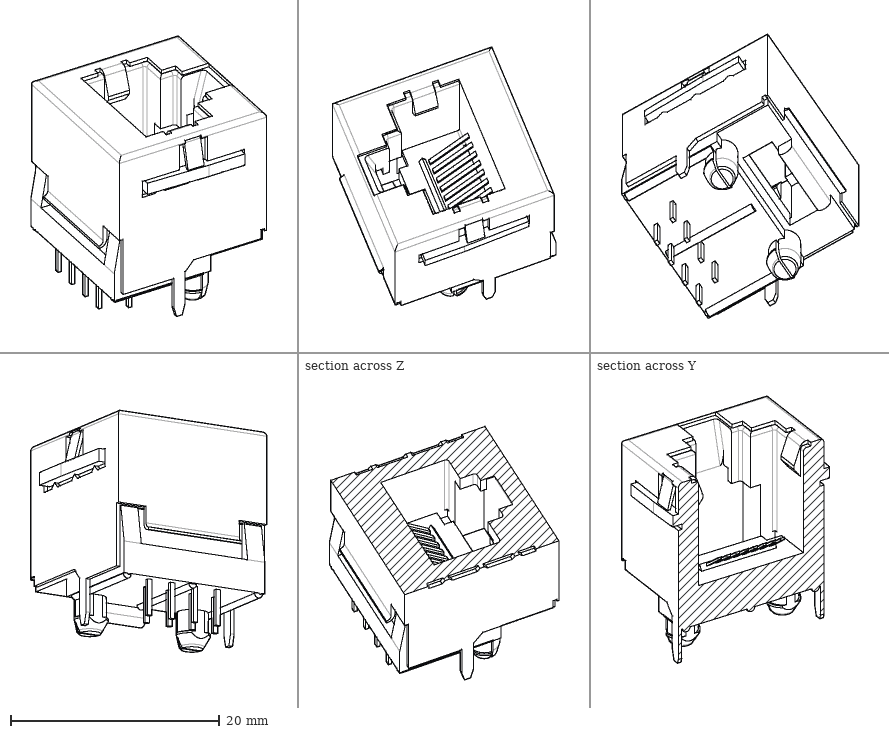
import cadquery as cq


overall_width = 18.04
shell_width = 16.6
shell_length = 16.45
top_z = 19.93
sheet = 0.42
edge_radius = 0.5
half_width = shell_width / 2
half_length = shell_length / 2
front_y = -half_length
back_y = half_length

housing_half_width = half_width - sheet
housing_front_y = front_y + sheet
housing_back_y = 8.0
housing_top_z = top_z - sheet
seat_z = 3.65
rear_bottom_z = 5.42
rear_step_y = 2.23
sill_y = -8.55
sill_top_z = 6.78

plug_half_width = 5.94
plug_front_y = -3.97
plug_back_y = 3.1
key_half_width = 3.1
key_back_y = 4.78
latch_half_width = 2.03
latch_top_y = 7.41
latch_bottom_y = 6.22
latch_slope_z = 14.95
floor_z = 7.97
well_half_width = 4.27

tongue_half_width = 5.22
tongue_bend_z = 9.0
tongue_reach = 0.48

spring_back_y = 0.88
spring_front_y = -1.47
spring_root_x = 6.48

side_spring_y = 0.04
side_window_top_z = 16.56
side_window_bottom_z = 14.75
strip_bottom_z = 15.29


def box(x0, x1, y0, y1, z0, z1):
    return cq.Workplane("XY").box(x1 - x0, y1 - y0, z1 - z0, centered=False).translate((x0, y0, z0))


def prism_x(points, x0, x1):
    """Extrude an outline of (y, z) points from x0 to x1."""
    return cq.Workplane("YZ").workplane(offset=x0).polyline(points).close().extrude(x1 - x0)


def prism_y(points, y0, y1):
    """Extrude an outline of (x, z) points from y0 to y1."""
    return cq.Workplane("XZ").workplane(offset=-y1).polyline(points).close().extrude(y1 - y0)


def prism_z(points, z0, z1):
    """Extrude an outline of (x, y) points from z0 to z1."""
    return cq.Workplane("XY").workplane(offset=z0).polyline(points).close().extrude(z1 - z0)


def with_mirror(solid, plane="YZ"):
    return solid.union(solid.mirror(plane))


def stepped_outline(right_side):
    """Close a right-hand run of (x, y) points with its mirror image."""
    return right_side + [(-x, y) for x, y in reversed(right_side)]


def make_shell():
    side_bottom_z = 4.42
    rear_bottom_edge_z = 5.84
    corner_notch_z = 10.66
    back_edge_z = 6.6
    rear_notch_z = 6.84
    rear_notch_y = 7.57
    tab_front_y, tab_back_y = -2.13, -0.9
    tab_taper_z, tab_tip_inset = 1.12, 0.3
    gusset_top_y, gusset_bottom_z = 0.08, 4.76

    block = box(-half_width, half_width, front_y, back_y, 0, top_z)
    block = block.faces(">Z").edges().fillet(edge_radius)
    inside = box(-housing_half_width, housing_half_width, housing_front_y, back_y - sheet, 0, housing_top_z)
    side_profile = [
        (front_y, top_z),
        (front_y, tongue_bend_z),
        (housing_front_y, tongue_bend_z),
        (housing_front_y, side_bottom_z),
        (tab_front_y, side_bottom_z),
        (tab_front_y, tab_taper_z),
        (tab_front_y + tab_tip_inset, 0),
        (tab_back_y - tab_tip_inset, 0),
        (tab_back_y, tab_taper_z),
        (tab_back_y, gusset_bottom_z),
        (gusset_top_y, rear_bottom_edge_z),
        (rear_notch_y, rear_bottom_edge_z),
        (rear_notch_y, rear_notch_z),
        (housing_back_y, rear_notch_z),
        (housing_back_y, back_edge_z),
        (back_y, back_edge_z),
        (back_y, top_z),
    ]
    shell = block.cut(inside).intersect(prism_x(side_profile, -half_width, half_width))
    front_corner = box(tongue_half_width, half_width, front_y, housing_front_y, 0, corner_notch_z)
    tongue_gap = box(-tongue_half_width, tongue_half_width, back_y - sheet, back_y, 0, tongue_bend_z)
    return shell.cut(with_mirror(front_corner)).cut(tongue_gap)


def make_tongue_lip():
    """Flared lower edge of the front snap tongue."""
    tip_y = front_y - tongue_reach
    tip_top_z, tip_bottom_z = 8.51, 8.25
    upper_mid = (front_y - 0.15, 8.65)
    lower_mid = (front_y + 0.08, 8.43)
    lip = (
        cq.Workplane("YZ")
        .workplane(offset=-tongue_half_width)
        .moveTo(housing_front_y, tongue_bend_z)
        .lineTo(front_y, tongue_bend_z)
        .threePointArc(upper_mid, (tip_y, tip_top_z))
        .lineTo(tip_y, tip_bottom_z)
        .threePointArc(lower_mid, (housing_front_y, tongue_bend_z))
        .close()
        .extrude(2 * tongue_half_width)
    )
    return lip


def make_top_opening():
    """Stepped opening in the shell top, with relief notches beside the inner springs."""
    side_gap, step_gap = 0.2, 0.32
    latch_back_y = 8.0
    outline = stepped_outline(
        [
            (plug_half_width + side_gap, plug_front_y),
            (plug_half_width + side_gap, plug_back_y + step_gap),
            (key_half_width + step_gap, plug_back_y + step_gap),
            (key_half_width + step_gap, key_back_y + side_gap),
            (latch_half_width + side_gap, key_back_y + side_gap),
            (latch_half_width + side_gap, latch_back_y),
        ]
    )
    opening = prism_z(outline, housing_top_z, top_z)
    notch_reach = 6.75
    notch_width = 0.6
    spans = (
        (spring_front_y - notch_width, spring_front_y, notch_reach),
        (spring_front_y, spring_back_y, spring_root_x),
        (spring_back_y, spring_back_y + notch_width, notch_reach),
    )
    for y0, y1, reach in spans:
        opening = opening.union(box(-reach, reach, y0, y1, housing_top_z, top_z))
    return opening


def make_inner_spring():
    """Bulged contact spring on the +X wall of the plug opening."""
    bend_mid = (6.15, 19.8)
    bend_end_x = 5.9
    nose_x = 5.18
    nose_top_z, nose_bottom_z = 17.54, 17.14
    heel_z = 16.15
    spring = (
        cq.Workplane("XZ")
        .workplane(offset=-spring_back_y)
        .moveTo(spring_root_x, top_z)
        .threePointArc(bend_mid, (bend_end_x, housing_top_z))
        .lineTo(nose_x, nose_top_z)
        .lineTo(nose_x, nose_bottom_z)
        .lineTo(plug_half_width, heel_z)
        .lineTo(spring_root_x, heel_z)
        .close()
        .extrude(spring_back_y - spring_front_y)
    )
    return spring


def make_side_window():
    """Recess through the +X sheet that frames the side spring."""
    half_window = 5.7
    channel_half = 1.55
    channel_top_z = 19.33
    slot_half = 0.9
    slot_top_z = 19.65
    tooth_half = 0.55
    tooth_pitch = 3.73
    x0, x1 = housing_half_width, half_width
    y0, y1 = side_spring_y - half_window, side_spring_y + half_window
    window = box(x0, x1, y0, y1, side_window_bottom_z, side_window_top_z)
    for i in (-1, 0, 1):
        y = side_spring_y + i * tooth_pitch
        tooth = [
            (y - tooth_half, side_window_bottom_z),
            (y + tooth_half, side_window_bottom_z),
            (y, strip_bottom_z),
        ]
        window = window.cut(prism_x(tooth, x0, x1))
    channel = box(x0, x1, -channel_half, channel_half, side_window_top_z, channel_top_z)
    slot = box(x0, x1, -slot_half, slot_half, channel_top_z, slot_top_z)
    return window.union(channel.union(slot).translate((0, side_spring_y, 0)))


def make_side_spring():
    """Long strip with a sloped leg on the +X side."""
    strip_half = 5.38
    bend_y = 1.35
    strip_reach = overall_width / 2
    taper_reach = 8.8
    leg_half = 0.9
    leg_top_z = 19.65
    leg_root_x = 7.93
    leg_bend_x, leg_bend_z = 8.13, 19.31
    leg_thickness = 0.32
    strip = prism_z(
        [
            (housing_half_width, -strip_half),
            (taper_reach, -strip_half),
            (strip_reach, bend_y),
            (strip_reach, strip_half),
            (housing_half_width, strip_half),
        ],
        strip_bottom_z,
        side_window_top_z,
    )
    leg = prism_y(
        [
            (leg_root_x - leg_thickness, leg_top_z),
            (leg_root_x, leg_top_z),
            (leg_bend_x, leg_bend_z),
            (taper_reach, side_window_top_z),
            (taper_reach - leg_thickness, side_window_top_z),
        ],
        -leg_half,
        leg_half,
    )
    return strip.union(leg.translate((0, side_spring_y, 0)))


def make_housing():
    wedge_top_z = 10.5
    wedge_top_y = -7.91
    wedge_inner_x = 5.95
    recess_depth = 0.3
    body = prism_x(
        [
            (housing_front_y, housing_top_z),
            (housing_front_y, sill_top_z),
            (sill_y, sill_top_z),
            (sill_y, seat_z),
            (rear_step_y, seat_z),
            (rear_step_y, rear_bottom_z),
            (housing_back_y, rear_bottom_z),
            (housing_back_y, housing_top_z),
        ],
        -housing_half_width,
        housing_half_width,
    )
    wedge = prism_x(
        [
            (housing_front_y, wedge_top_z),
            (wedge_top_y, wedge_top_z),
            (sill_y, sill_top_z),
            (housing_front_y, sill_top_z),
        ],
        wedge_inner_x,
        housing_half_width,
    )
    recess = box(
        -wedge_inner_x,
        wedge_inner_x,
        housing_front_y,
        housing_front_y + recess_depth,
        sill_top_z,
        wedge_top_z,
    )
    return body.union(with_mirror(wedge)).cut(recess)


def cut_plug_cavity(housing):
    """Cut the stepped plug opening, the sloped latch recess and the open well behind the plug."""
    corner_radius = 0.3
    lead_in_radius = 0.35
    latch_radius = 0.4
    well_front_y = 2.93
    well_step_y = 5.42
    well_z = 13.55
    pocket_front_y = 1.97
    pocket_depth = 1.0

    plug = box(-plug_half_width, plug_half_width, plug_front_y, plug_back_y, floor_z, housing_top_z)
    plug = plug.edges("|Z and >Y").fillet(corner_radius)
    key = box(-key_half_width, key_half_width, 0, key_back_y, floor_z, housing_top_z)
    key = key.edges("|Z and >Y").fillet(corner_radius)
    housing = housing.cut(plug.union(key))

    margin = 0.2

    rim_zone = cq.selectors.BoxSelector(
        (-plug_half_width - margin, plug_front_y + margin, housing_top_z - margin),
        (plug_half_width + margin, key_back_y + margin, housing_top_z + margin),
    )
    housing = housing.faces(">Z").edges(rim_zone).fillet(lead_in_radius)

    latch = prism_x(
        [
            (0, well_z),
            (0, housing_top_z),
            (latch_top_y, housing_top_z),
            (latch_bottom_y, latch_slope_z),
            (latch_bottom_y, well_z),
        ],
        -latch_half_width,
        latch_half_width,
    )
    slope_zone = cq.selectors.BoxSelector(
        (-latch_half_width - margin, latch_bottom_y + margin, latch_slope_z),
        (latch_half_width + margin, latch_top_y, housing_top_z - margin),
    )
    latch = latch.edges("not |X").edges(slope_zone).fillet(latch_radius)
    well = prism_x(
        [
            (well_front_y, 0),
            (well_front_y, well_z),
            (well_step_y, well_z),
            (well_step_y, latch_slope_z),
            (latch_bottom_y, latch_slope_z),
            (latch_bottom_y, 0),
        ],
        -well_half_width,
        well_half_width,
    )
    pocket = box(
        well_half_width, plug_half_width, pocket_front_y, plug_back_y, floor_z - pocket_depth, floor_z
    )
    return housing.cut(latch).cut(well).cut(with_mirror(pocket))


def make_floor_cove():
    """Concave rounding where the +X side of the plug floor meets the front wall."""
    cove_radius = 0.24
    corner = box(
        well_half_width,
        plug_half_width,
        plug_front_y,
        plug_front_y + cove_radius,
        floor_z,
        floor_z + cove_radius,
    )
    hollow = (
        cq.Workplane("YZ")
        .workplane(offset=well_half_width)
        .center(plug_front_y + cove_radius, floor_z + cove_radius)
        .circle(cove_radius)
        .extrude(plug_half_width - well_half_width)
    )
    return corner.cut(hollow)


def make_contacts():
    """Row of sloped contact wires reaching from the front wall, and the ridge behind them."""
    contact_count = 8
    contact_pitch = 1.02
    contact_width = 0.44
    contact_thickness = 0.3
    contact_tip_y = 0.05
    tip_z, root_z = 8.77, 11.95
    ridge_back_y, ridge_peak_y, ridge_front_y = 0.88, 0.54, 0.2
    ridge_height = 0.6
    wire = [
        (contact_tip_y, tip_z),
        (plug_front_y, root_z),
        (plug_front_y, root_z - contact_thickness),
        (contact_tip_y, tip_z - contact_thickness),
    ]
    parts = prism_x(
        [(ridge_back_y, floor_z), (ridge_peak_y, floor_z + ridge_height), (ridge_front_y, floor_z)],
        -well_half_width,
        well_half_width,
    )
    for i in range(contact_count):
        x = (i - (contact_count - 1) / 2) * contact_pitch
        parts = parts.add(prism_x(wire, x - contact_width / 2, x + contact_width / 2))
    return parts.combine()


def make_pins():
    """Solder pins in two staggered rows."""
    pin_count = 8
    pin_pitch = 1.28
    pin_width = 0.48
    pin_thickness = 0.35
    pin_tip_z = 0.08
    front_row_y, back_row_y = -7.47, -4.88
    pins = cq.Workplane("XY").workplane(offset=pin_tip_z)
    for i in range(pin_count):
        x = (i - (pin_count - 1) / 2) * pin_pitch
        y = front_row_y if i % 2 == 0 else back_row_y
        pins = pins.moveTo(x, y).rect(pin_width, pin_thickness)
    return pins.extrude(seat_z - pin_tip_z)


def make_peg():
    """Split board-lock peg on the +X side: barbed front half and plain tapered back half."""
    peg_x, peg_y = 5.72, 1.47
    tip_z = 0.08
    round_z = 0.3
    barb_top_z, barb_bottom_z = 1.51, 1.3
    shaft_radius, barb_radius = 1.6, 1.77
    flat_depth = 1.51
    slit = 0.22
    tip_radius = 1.05
    front_round_radius, back_round_radius = 1.2, 1.25
    front_profile = [
        (0, tip_z),
        (tip_radius, tip_z),
        (front_round_radius, round_z),
        (barb_radius, barb_bottom_z),
        (barb_radius, barb_top_z),
        (shaft_radius, barb_top_z),
        (shaft_radius, seat_z),
        (0, seat_z),
    ]
    back_profile = [
        (0, tip_z),
        (tip_radius, tip_z),
        (back_round_radius, round_z),
        (flat_depth, barb_top_z),
        (flat_depth, rear_bottom_z),
        (0, rear_bottom_z),
    ]

    def turned(profile):
        return cq.Workplane("XZ").polyline(profile).close().revolve(360, (0, 0), (0, 1))

    front_zone = box(-barb_radius, barb_radius, -flat_depth, 0, 0, seat_z)
    back_zone = box(-barb_radius, barb_radius, slit, barb_radius, 0, rear_bottom_z)
    front_half = turned(front_profile).intersect(front_zone)
    back_half = turned(back_profile).intersect(back_zone)
    return front_half.union(back_half).translate((peg_x, peg_y, 0))


def make_standoffs():
    """Rounded ribs under the housing and the round-edged foot plate at the back."""
    rib_x = 7.35
    rib_half = 0.44
    rib_depth = 0.42
    rib_back_y = 1.47
    rib_chamfer = 0.3
    middle_setback = 0.32
    foot_half_width = 3.55
    foot_thickness = 1.51
    foot_radius = foot_thickness / 2
    foot_bottom_z = 3.23
    rib = (
        cq.Workplane("XZ")
        .workplane(offset=-rib_back_y)
        .moveTo(-rib_half, seat_z)
        .threePointArc((0, seat_z - rib_depth), (rib_half, seat_z))
        .close()
        .extrude(rib_back_y - sill_y)
    )
    foot = (
        cq.Workplane("YZ")
        .workplane(offset=-foot_half_width)
        .moveTo(housing_back_y, rear_bottom_z)
        .lineTo(housing_back_y, foot_bottom_z + foot_radius)
        .threePointArc(
            (housing_back_y - foot_radius, foot_bottom_z),
            (housing_back_y - foot_thickness, foot_bottom_z + foot_radius),
        )
        .lineTo(housing_back_y - foot_thickness, rear_bottom_z)
        .close()
        .extrude(2 * foot_half_width)
    )
    side_rib = rib.faces("<Y").edges("not |X").chamfer(rib_chamfer)
    middle_rib = rib.intersect(box(-rib_half, rib_half, sill_y + middle_setback, rib_back_y, 0, seat_z))
    return foot.union(middle_rib).union(with_mirror(side_rib.translate((rib_x, 0, 0))))


shell = make_shell().cut(make_top_opening()).cut(with_mirror(make_side_window()))
shell = shell.union(with_mirror(make_tongue_lip(), "XZ"))
housing = cut_plug_cavity(make_housing())

result = housing.union(shell)
for feature in (
    with_mirror(make_inner_spring()),
    with_mirror(make_side_spring()),
    with_mirror(make_floor_cove()),
    make_contacts(),
    make_standoffs(),
    make_pins(),
    with_mirror(make_peg()),
):
    result = result.union(feature)